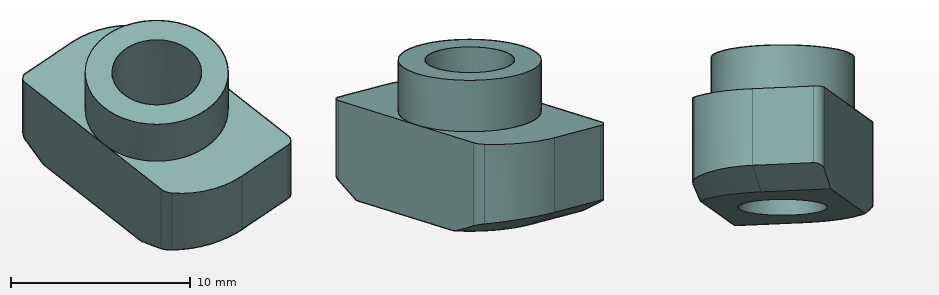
import cadquery as cq
import math

length = 14.0
width = 8.0
total_height = 8.5
boss_height = 3.0
bore_diameter = 5.0
swing_radius = 5.0
swing_blend_radius = 1.0
corner_radius = 0.5
bevel_run = 2.0
bevel_angle = 30.0

half_length = length / 2
half_width = width / 2
body_height = total_height - boss_height
swing_center_x = half_length - swing_radius
swing_end_x = swing_center_x + math.sqrt(swing_radius**2 - half_width**2)
swing_mid_angle = math.asin(half_width / swing_radius) / 2
swing_mid_x = swing_center_x + swing_radius * math.cos(swing_mid_angle)
swing_mid_y = swing_radius * math.sin(swing_mid_angle)


def make_body():
    """Block with two small corners and two large ones, diagonally opposite."""
    block = (
        cq.Workplane("XY")
        .moveTo(half_length, 0)
        .lineTo(half_length, half_width)
        .lineTo(-swing_end_x, half_width)
        .threePointArc((-swing_mid_x, swing_mid_y), (-half_length, 0))
        .lineTo(-half_length, -half_width)
        .lineTo(swing_end_x, -half_width)
        .threePointArc((swing_mid_x, -swing_mid_y), (half_length, 0))
        .close()
        .extrude(body_height)
    )
    small_corners = [(half_length, half_width, 0), (-half_length, -half_width, 0)]
    swing_corners = [(-swing_end_x, half_width, 0), (swing_end_x, -half_width, 0)]
    for corners, radius in ((small_corners, corner_radius), (swing_corners, swing_blend_radius)):
        for corner in corners:
            nearest_edge = cq.selectors.NearestToPointSelector((corner[0], corner[1], body_height / 2))
            block = block.edges("|Z").edges(nearest_edge).fillet(radius)
    return block


def bevel_profile():
    """Half section in XZ whose sloping side runs past the end of the block."""
    bottom_reach = half_length - bevel_run
    top_reach = bottom_reach + body_height / math.tan(math.radians(bevel_angle))
    return (
        cq.Workplane("XZ")
        .lineTo(bottom_reach, 0)
        .lineTo(top_reach, body_height)
        .lineTo(0, body_height)
        .close()
    )


def make_bevel_envelope():
    """Conical bevel at the large corners, flat bevel at the small ones."""
    envelope = bevel_profile().revolve(360, (0, 0, 0), (0, 1, 0))
    flat_bevel = bevel_profile().extrude(-width)
    for turn in (0, 180):
        envelope = envelope.union(flat_bevel.rotate((0, 0, 0), (0, 0, 1), turn))
    return envelope


body = make_body().intersect(make_bevel_envelope())
boss = cq.Workplane("XY").workplane(offset=body_height).circle(half_width).extrude(boss_height)
bore = cq.Workplane("XY").circle(bore_diameter / 2).extrude(total_height)

result = body.union(boss).cut(bore)